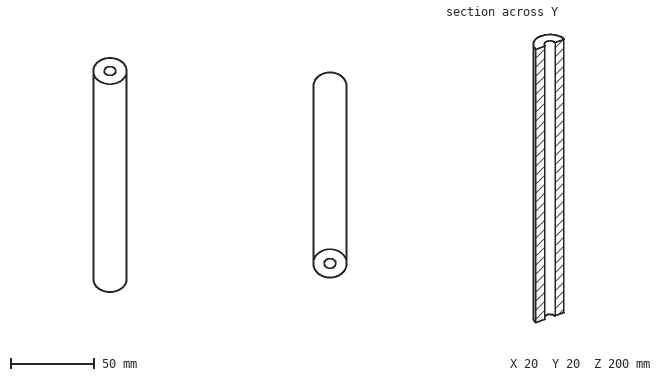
import cadquery as cq

length = 200.0
outer_diameter = 20.0
bore_diameter = 6.8

result = (
    cq.Workplane("XY")
    .circle(outer_diameter / 2)
    .circle(bore_diameter / 2)
    .extrude(length)
)